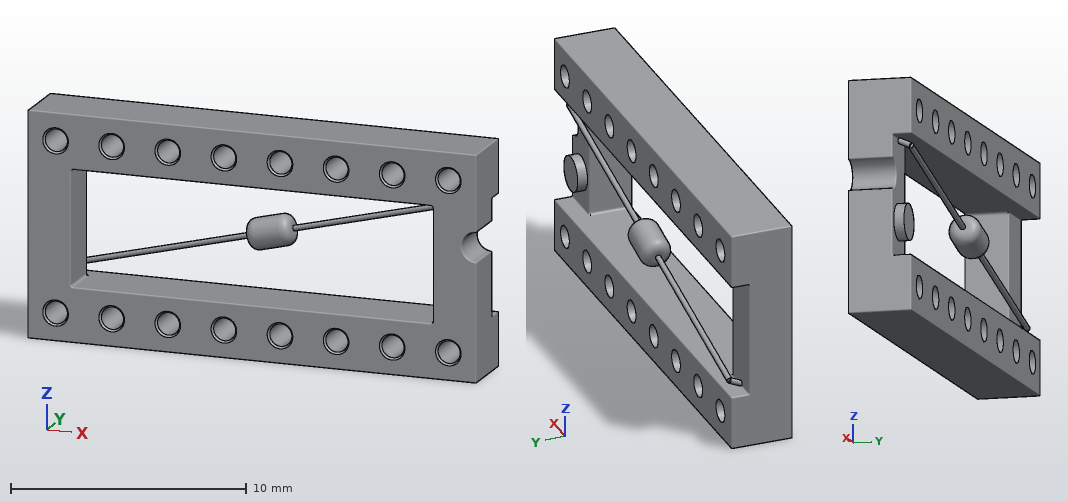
import cadquery as cq
import math

pins_per_row = 8
pin_pitch = 2.54
row_spacing = 7.62
hole_diameter = 1.0
hole_mouth_diameter = 1.16
hole_mouth_depth = 0.1

frame_length = pins_per_row * pin_pitch
frame_height = 10.1
frame_depth = 2.8
edge_rounding = 0.06

opening_length = 16.38
opening_height = 5.22
opening_corner = 0.12
channel_depth = 0.83
channel_floor = frame_depth - channel_depth
end_bar_x = (opening_length + frame_length) / 4

notch_radius = 0.66
notch_z = 0.95

pad_radius = 0.8
pad_thickness = 0.45
pad_z = -1.02

overall_depth = 3.19
body_radius = 0.7
body_length = 2.05
body_rounding = 0.4
axis_y = overall_depth - body_radius
lead_radius = 0.125
lead_slope = math.radians(14)
lead_end_z = end_bar_x * math.tan(lead_slope)
foot_slope = math.radians(24)
foot_embed = 0.4


def cylinder_along_y(radius, depth, x, y, z):
    """Cylinder running toward +Y from its start point."""
    start = cq.Vector(x, y, z)
    return cq.Workplane(cq.Solid.makeCylinder(radius, depth, start, cq.Vector(0, 1, 0)))


def make_frame():
    """Rectangular frame with its opening, back channel, index notch and rounded edges."""
    block = cq.Workplane("XY").box(frame_length, frame_depth, frame_height)
    block = block.translate((0, frame_depth / 2, 0))

    opening = cq.Workplane("XY").box(opening_length, 2 * frame_depth, opening_height)
    opening = opening.edges("|Y").fillet(opening_corner)
    channel = cq.Workplane("XY").box(2 * frame_length, 2 * channel_depth, opening_height)
    channel = channel.translate((0, frame_depth, 0))
    notch = cylinder_along_y(notch_radius, frame_depth, frame_length / 2, 0, notch_z)
    frame = block.cut(opening).cut(channel).cut(notch)
    return frame.edges().fillet(edge_rounding)


def cut_pin_holes(frame):
    """Through holes with a tapered mouth on the front face."""
    for row_z in (-row_spacing / 2, row_spacing / 2):
        for index in range(pins_per_row):
            x = (index - (pins_per_row - 1) / 2) * pin_pitch
            mouth = cq.Solid.makeCone(
                hole_mouth_diameter / 2,
                hole_diameter / 2,
                hole_mouth_depth,
                cq.Vector(x, 0, row_z),
                cq.Vector(0, 1, 0),
            )
            frame = frame.cut(cylinder_along_y(hole_diameter / 2, frame_depth, x, 0, row_z))
            frame = frame.cut(cq.Workplane(mouth))
    return frame


def make_component_body():
    """Rounded cylinder centred on the lead axis."""
    body = cq.Workplane("YZ").circle(body_radius).extrude(body_length / 2, both=True)
    body = body.edges().fillet(body_rounding)
    body = body.rotate((0, 0, 0), (0, 1, 0), -math.degrees(lead_slope))
    return body.translate((0, axis_y, 0))


def make_lead(side):
    """Straight lead plus the foot that bends down into the channel floor."""
    centre = cq.Vector(0, axis_y, 0)
    bend = cq.Vector(side * end_bar_x, axis_y, side * lead_end_z)
    foot_direction = cq.Vector(0, -math.cos(foot_slope), side * math.sin(foot_slope))
    foot_length = (axis_y - channel_floor + foot_embed) / math.cos(foot_slope)

    lead = cq.Solid.makeCylinder(lead_radius, (bend - centre).Length, centre, bend - centre)
    foot = cq.Solid.makeCylinder(lead_radius, foot_length, bend, foot_direction)
    return cq.Workplane(lead).union(cq.Workplane(foot))


result = cut_pin_holes(make_frame())
result = result.union(cylinder_along_y(pad_radius, pad_thickness, end_bar_x, channel_floor, pad_z))
result = result.union(make_component_body())
for side in (-1, 1):
    result = result.union(make_lead(side))